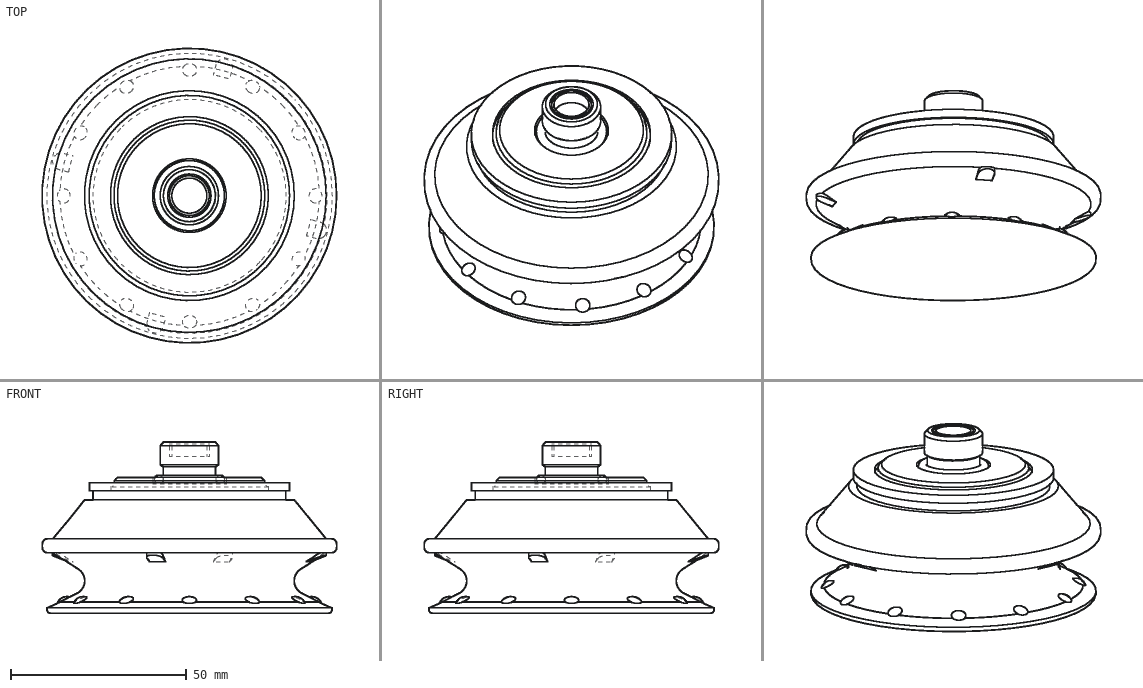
import cadquery as cq
import math


overall_height = 48.8
cup_top = 32.3
flange_bottom = 34.9
flange_top = 37.2
disc_top = 38.7
thread_bottom = 42.25
neck_top = 41.75

lip_radius = 40.65
lip_round = 1.0
lip_edge_level = 1.5
lip_step_radius = 37.0
lip_step_drop = 0.1
waist_radius = 29.9
waist_level = 9.2
waist_round = 3.95
lower_cone_angle = math.radians(27)
upper_cone_angle = math.radians(32)
rim_radius = 42.0
rim_bottom = 17.2
rim_top = 21.25
rim_round = 1.5
shoulder_base_radius = 39.0
shoulder_top_radius = 29.9

dome_count = 12
dome_diameter = 4.0
dome_height = 0.75
dome_place_radius = 35.9

rib_count = 4
rib_first_angle = 75
rib_width = 4.8
rib_inner_radius = 31.9
rib_outer_radius = 40.3
rib_foot_level = 14.7
rib_underside_angle = math.radians(20)

plate_radius = 28.6
plate_step_radius = 55.0 / 2
plate_recess_radius = 45.0 / 2

disc_radius = 43.0 / 2
disc_chamfer = 1.0
disc_foot_radius = plate_recess_radius
disc_foot_round = disc_foot_radius - disc_radius
disc_foot_top = 36.1
ring_recess_radius = 21.0 / 2

neck_radius = 15.0 / 2
thread_radius = 16.6 / 2
thread_top_radius = 14.8 / 2
thread_chamfer_height = 1.0
bore_radius = 11.3 / 2
bore_mouth_radius = 12.35 / 2
bore_mouth_depth = 0.5
bore_depth = 4.0
sleeve_inner_radius = 10.0 / 2
sleeve_setback = 0.1

ring_outer_radius = 20.0 / 2
ring_section_radius = (ring_outer_radius - neck_radius) / 2
ring_center_radius = neck_radius + ring_section_radius
ring_top = 39.4
ring_recess_floor = ring_top - 2 * ring_section_radius


def ring_solid(outer_radius, bottom, top, inner_radius=0):
    """Cylinder on the Z axis, or a tube when an inner radius is given."""
    sketch = cq.Workplane("XY", origin=(0, 0, bottom)).circle(outer_radius)
    if inner_radius > 0:
        sketch = sketch.circle(inner_radius)
    return sketch.extrude(top - bottom)


def revolved(profile):
    """Full turn about Z of a closed profile drawn as (radius, height)."""
    return profile.close().revolve(360, (0, 0, 0), (0, 1, 0))


def around_axis(shape, count, first_angle=0):
    """Copies of a shape at equal angles about Z."""
    step = 360 / count
    return [shape.rotate((0, 0, 0), (0, 0, 1), first_angle + i * step) for i in range(count)]


def arc_point(center_radius, center_level, radius, angle):
    """Point (radius, height) on a profile arc; the angle is from the outward direction."""
    return (center_radius + radius * math.cos(angle), center_level + radius * math.sin(angle))


waist_center = waist_radius + waist_round
lower_tangent = arc_point(waist_center, waist_level, waist_round, -math.pi / 2 - lower_cone_angle)
upper_tangent = arc_point(waist_center, waist_level, waist_round, math.pi / 2 + upper_cone_angle)


def lower_cone_level(radius):
    """Height of the cone below the waist at a radius."""
    return lower_tangent[1] - (radius - lower_tangent[0]) * math.tan(lower_cone_angle)


def upper_cone_radius(level):
    """Radius of the cone above the waist at a height."""
    return upper_tangent[0] + (level - upper_tangent[1]) / math.tan(upper_cone_angle)


def make_cup_body():
    lip_step_top = lower_cone_level(lip_step_radius)
    rim_center = rim_radius - rim_round
    low_round_level = rim_bottom + rim_round
    high_round_level = rim_top - rim_round
    eighth_turn = math.pi / 4
    profile = (
        cq.Workplane("XZ")
        .moveTo(0, 0)
        .lineTo(lip_radius - lip_round, 0)
        .threePointArc(
            arc_point(lip_radius - lip_round, lip_round, lip_round, -eighth_turn),
            (lip_radius, lip_round),
        )
        .lineTo(lip_radius, lip_edge_level)
        .lineTo(lip_step_radius, lip_step_top - lip_step_drop)
        .lineTo(lip_step_radius, lip_step_top)
        .lineTo(*lower_tangent)
        .threePointArc((waist_radius, waist_level), upper_tangent)
        .lineTo(upper_cone_radius(rim_bottom), rim_bottom)
        .lineTo(rim_center, rim_bottom)
        .threePointArc(
            arc_point(rim_center, low_round_level, rim_round, -eighth_turn),
            (rim_radius, low_round_level),
        )
        .lineTo(rim_radius, high_round_level)
        .threePointArc(
            arc_point(rim_center, high_round_level, rim_round, eighth_turn),
            (rim_center, rim_top),
        )
        .lineTo(shoulder_base_radius, rim_top)
        .lineTo(shoulder_top_radius, cup_top)
        .lineTo(0, cup_top)
    )
    return revolved(profile)


def make_dome():
    """Ball sunk into the lip's upper side so that only a shallow cap shows."""
    ball_radius = ((dome_diameter / 2) ** 2 + dome_height**2) / (2 * dome_height)
    sink = ball_radius - dome_height
    center_x = dome_place_radius - sink * math.sin(lower_cone_angle)
    center_z = lower_cone_level(dome_place_radius) - sink * math.cos(lower_cone_angle)
    ball = cq.Workplane("XY").sphere(ball_radius).translate((center_x, 0, center_z))
    above_lip_plane = ring_solid(rim_radius, 0, rim_bottom)
    return ball.intersect(above_lip_plane)


def make_rib():
    """Round-ended block hanging from the rim, with a sloping underside."""
    half_width = rib_width / 2
    end_center = rib_outer_radius - half_width
    foot_radius = upper_cone_radius(rib_foot_level)
    block = (
        cq.Workplane("XY", origin=(0, 0, rib_foot_level))
        .moveTo(rib_inner_radius, -half_width)
        .lineTo(end_center, -half_width)
        .threePointArc((rib_outer_radius, 0), (end_center, half_width))
        .lineTo(rib_inner_radius, half_width)
        .close()
        .extrude(rim_bottom + rim_round - rib_foot_level)
    )
    run = rim_radius - foot_radius
    below_slope = (
        cq.Workplane("XZ")
        .moveTo(foot_radius, rib_foot_level)
        .lineTo(rim_radius, rib_foot_level)
        .lineTo(rim_radius, rib_foot_level + run * math.tan(rib_underside_angle))
        .close()
        .extrude(rib_width, both=True)
    )
    return block.cut(below_slope)


def make_cup():
    cup = make_cup_body()
    for dome in around_axis(make_dome(), dome_count):
        cup = cup.union(dome)
    for rib in around_axis(make_rib(), rib_count, rib_first_angle):
        cup = cup.union(rib)
    return cup


def make_plate():
    """Stepped plate on top of the cup, with a recess for the cover disc."""
    step = ring_solid(plate_step_radius, cup_top, flange_bottom)
    flange = ring_solid(plate_radius, flange_bottom, flange_top, plate_recess_radius)
    return step.union(flange)


def make_disc():
    """Chamfered disc whose flared foot fills the plate recess; its own recess takes the sealing ring."""
    foot_round_end = disc_foot_top + disc_foot_round
    profile = (
        cq.Workplane("XZ")
        .moveTo(0, flange_bottom)
        .lineTo(disc_foot_radius, flange_bottom)
        .lineTo(disc_foot_radius, disc_foot_top)
        .threePointArc(
            arc_point(disc_foot_radius, foot_round_end, disc_foot_round, -3 * math.pi / 4),
            (disc_radius, foot_round_end),
        )
        .lineTo(disc_radius, disc_top - disc_chamfer)
        .lineTo(disc_radius - disc_chamfer, disc_top)
        .lineTo(0, disc_top)
    )
    disc = revolved(profile)
    return disc.cut(ring_solid(ring_recess_radius, ring_recess_floor, disc_top))


def make_fitting():
    """Threaded end on a neck, with a blind bore for the sleeve."""
    profile = (
        cq.Workplane("XZ")
        .moveTo(0, ring_recess_floor)
        .lineTo(neck_radius, ring_recess_floor)
        .lineTo(neck_radius, neck_top)
        .lineTo(thread_radius, thread_bottom)
        .lineTo(thread_radius, overall_height - thread_chamfer_height)
        .lineTo(thread_top_radius, overall_height)
        .lineTo(bore_mouth_radius, overall_height)
        .lineTo(bore_radius, overall_height - bore_mouth_depth)
        .lineTo(bore_radius, overall_height - bore_depth)
        .lineTo(0, overall_height - bore_depth)
    )
    return revolved(profile)


def make_sleeve():
    return ring_solid(
        bore_radius,
        overall_height - bore_depth,
        overall_height - sleeve_setback,
        sleeve_inner_radius,
    )


def make_sealing_ring():
    section = cq.Workplane("XZ").center(ring_center_radius, ring_recess_floor + ring_section_radius)
    axis_start = (-ring_center_radius, 0, 0)
    axis_end = (-ring_center_radius, 1, 0)
    return section.circle(ring_section_radius).revolve(360, axis_start, axis_end)


cup = make_cup()
plate = make_plate()
disc = make_disc()
fitting = make_fitting()
sleeve = make_sleeve()
sealing_ring = make_sealing_ring()

bodies = [cup, plate, disc, fitting, sleeve, sealing_ring]
result = cq.Compound.makeCompound([body.solids().val() for body in bodies])